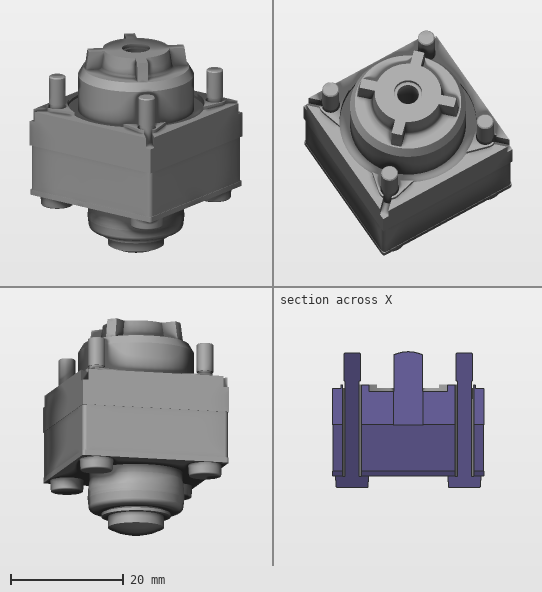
import cadquery as cq
import math


total_height = 37.73
top_z = 10.85
rotor_shoulder_z = 7.47
rotor_chamfer_z = 6.0
pad_height = 0.6
cover_bottom_z = -6.45
housing_bottom_z = -14.7
plate_bottom_z = -15.65
boss_bottom_z = -22.68
tip_z = top_z - total_height

cover_width = 27.0
notch_width = 1.5
notch_depth = 1.95
recess_radius = 12.2
recess_depth = 0.5
pad_corner_radius = 2.0
pad_side_angle = 15.0

housing_width = 26.85
housing_corner_radius = 0.7
plate_corner_radius = 0.5

boss_neck_radius = 8.3
boss_radius = 8.6
boss_neck_z = -17.05
boss_bulge_mid = (8.5, -18.1)
boss_bulge_end = (8.55, -19.13)
boss_band_top_z = -20.05
boss_band_bottom_z = -20.5
boss_draft_end = (8.45, -21.77)
boss_edge_round = 0.9

rotor_radius = 10.35
rotor_shoulder_radius = 9.47
hub_top_radius = 5.92
hub_base_radius = 6.5
hub_fillet = 0.53
fin_top_radius = 8.65
fin_base_radius = 9.13
fin_width = 1.92
rotor_hole_radius = 1.92
counterbore_radius = 2.53
counterbore_depth = 0.65

plunger_radius = 5.0
plunger_rim_z = -25.58
collar_radius = 5.35
flange_radius = 6.2
flange_top_z = -23.1
flange_bottom_z = -23.62

screw_offset = 10.0
screw_hole_radius = 1.65
thread_radius = 1.5
thread_top_z = 6.3
thread_bottom_z = 1.25
thread_chamfer = 0.2
shank_radius = 1.32
head_height = 2.05
head_radius = 3.0
head_end_radius = 2.85
head_edge_round = 0.25

screw_points = [
    (sx * screw_offset, sy * screw_offset) for sx in (-1, 1) for sy in (-1, 1)
]


def cylinder(radius, bottom, top):
    """A cylinder on the Z axis between two heights."""
    return cq.Workplane("XY").workplane(offset=bottom).circle(radius).extrude(top - bottom)


def block(width, bottom, top):
    """A square block centred on the Z axis between two heights."""
    return cq.Workplane("XY").workplane(offset=bottom).rect(width, width).extrude(top - bottom)


def around_corners(shape):
    """Four copies of a shape, turned from the +X +Y corner to every corner."""
    copies = shape
    for quarter in range(1, 4):
        copies = copies.union(shape.rotate((0, 0, 0), (0, 0, 1), 90 * quarter))
    return copies


def drill_screw_holes(body):
    """Clearance holes for the four screws, through the whole body."""
    holes = (
        cq.Workplane("XY")
        .workplane(offset=plate_bottom_z)
        .pushPoints(screw_points)
        .circle(screw_hole_radius)
        .extrude(top_z - plate_bottom_z)
    )
    return body.cut(holes)


def make_pad():
    """Raised pad around the screw at the +X +Y corner, with two sides tangent to its corner arc."""
    slant = math.radians(pad_side_angle)
    lean_x = pad_corner_radius * math.sin(slant)
    lean_y = pad_corner_radius * math.cos(slant)
    side_run = screw_offset - lean_x
    tangent = (side_run, screw_offset + lean_y)
    side_end = (0, tangent[1] - side_run * math.tan(slant))
    corner = screw_offset + pad_corner_radius / math.sqrt(2)
    return (
        cq.Workplane("XY")
        .moveTo(*side_end)
        .lineTo(*tangent)
        .threePointArc((corner, corner), tangent[::-1])
        .lineTo(*side_end[::-1])
        .close()
        .extrude(pad_height)
    )


def make_cover():
    """Square cover with a recessed bore for the rotor, corner pads and a diagonal notch at each corner."""
    cover = block(cover_width, cover_bottom_z, 0).union(around_corners(make_pad()))
    cover = cover.cut(cylinder(recess_radius, -recess_depth, pad_height))
    cover = cover.cut(cylinder(rotor_radius, cover_bottom_z, 0))
    notch_length = cover_width / math.sqrt(2)
    notch = (
        cq.Workplane("XY")
        .workplane(offset=-notch_depth)
        .center(screw_offset * math.sqrt(2) + notch_length / 2, 0)
        .rect(notch_length, notch_width)
        .extrude(notch_depth + pad_height)
        .rotate((0, 0, 0), (0, 0, 1), 45)
    )
    return drill_screw_holes(cover.cut(around_corners(notch)))


def make_housing():
    """Square housing with rounded upright edges."""
    housing = block(housing_width, housing_bottom_z, cover_bottom_z)
    return drill_screw_holes(housing.edges("|Z").fillet(housing_corner_radius))


def make_base():
    """Base plate with the bulging round boss under it."""
    plate = block(cover_width, plate_bottom_z, housing_bottom_z)
    plate = drill_screw_holes(plate.edges("|Z").fillet(plate_corner_radius))
    round_start_radius, round_start_z = boss_draft_end
    floor_radius = round_start_radius - boss_edge_round
    round_mid = (
        floor_radius + boss_edge_round / math.sqrt(2),
        round_start_z - boss_edge_round / math.sqrt(2),
    )
    boss = (
        cq.Workplane("XZ")
        .moveTo(0, plate_bottom_z)
        .lineTo(boss_neck_radius, plate_bottom_z)
        .lineTo(boss_neck_radius, boss_neck_z)
        .threePointArc(boss_bulge_mid, boss_bulge_end)
        .lineTo(boss_radius, boss_band_top_z)
        .lineTo(boss_radius, boss_band_bottom_z)
        .lineTo(*boss_draft_end)
        .threePointArc(round_mid, (floor_radius, boss_bottom_z))
        .lineTo(0, boss_bottom_z)
        .close()
        .revolve(360, (0, 0), (0, 1))
    )
    return plate.union(boss)


def make_fins():
    """Two crossed diagonal bars trimmed by a cone, which form the four fins of the hub."""
    fin_cone = (
        cq.Workplane("XZ")
        .moveTo(0, rotor_shoulder_z)
        .lineTo(fin_base_radius, rotor_shoulder_z)
        .lineTo(fin_top_radius, top_z)
        .lineTo(0, top_z)
        .close()
        .revolve(360, (0, 0), (0, 1))
    )
    bar = (
        cq.Workplane("XY")
        .workplane(offset=rotor_shoulder_z)
        .rect(2 * fin_base_radius, fin_width)
        .extrude(top_z - rotor_shoulder_z)
        .rotate((0, 0, 0), (0, 0, 1), 45)
    )
    crossing_bar = bar.rotate((0, 0, 0), (0, 0, 1), 90)
    return fin_cone.intersect(bar.union(crossing_bar))


def make_rotor():
    """Round rotor seated in the bore of the cover, with a tapered hub with fins, and a centre hole."""
    body = (
        cq.Workplane("XZ")
        .moveTo(0, cover_bottom_z)
        .lineTo(rotor_radius, cover_bottom_z)
        .lineTo(rotor_radius, rotor_chamfer_z)
        .lineTo(rotor_shoulder_radius, rotor_shoulder_z)
        .lineTo(hub_base_radius, rotor_shoulder_z)
        .lineTo(hub_top_radius, top_z)
        .lineTo(0, top_z)
        .close()
        .revolve(360, (0, 0), (0, 1))
    )
    foot_reach = hub_base_radius + hub_fillet
    hub_foot = cq.selectors.BoxSelector(
        (-foot_reach, -foot_reach, rotor_shoulder_z - hub_fillet),
        (foot_reach, foot_reach, rotor_shoulder_z + hub_fillet),
        boundingbox=True,
    )
    body = body.edges(hub_foot).fillet(hub_fillet)
    body = body.union(make_fins())
    body = body.cut(cylinder(rotor_hole_radius, cover_bottom_z, top_z))
    return body.cut(cylinder(counterbore_radius, top_z - counterbore_depth, top_z))


def make_plunger():
    """Domed plunger with a collar and a thin flange, seated on the boss."""
    dome_height = plunger_rim_z - tip_z
    dome_radius = (plunger_radius**2 + dome_height**2) / (2 * dome_height)
    dome_mid_radius = plunger_radius / 2
    dome_mid_z = tip_z + dome_radius - math.sqrt(dome_radius**2 - dome_mid_radius**2)
    return (
        cq.Workplane("XZ")
        .moveTo(0, boss_bottom_z)
        .lineTo(collar_radius, boss_bottom_z)
        .lineTo(collar_radius, flange_top_z)
        .lineTo(flange_radius, flange_top_z)
        .lineTo(flange_radius, flange_bottom_z)
        .lineTo(plunger_radius, flange_bottom_z)
        .lineTo(plunger_radius, plunger_rim_z)
        .threePointArc((dome_mid_radius, dome_mid_z), (0, tip_z))
        .close()
        .revolve(360, (0, 0), (0, 1))
    )


def make_screw(x, y):
    """Screw with a drafted round head under the base plate and a thread above a thinner shank."""
    head_bottom_z = plate_bottom_z - head_height
    screw = (
        cq.Workplane("XZ")
        .moveTo(0, head_bottom_z)
        .lineTo(head_end_radius, head_bottom_z)
        .lineTo(head_radius, plate_bottom_z)
        .lineTo(shank_radius, plate_bottom_z)
        .lineTo(shank_radius, thread_bottom_z)
        .lineTo(thread_radius, thread_bottom_z)
        .lineTo(thread_radius, thread_top_z)
        .lineTo(0, thread_top_z)
        .close()
        .revolve(360, (0, 0), (0, 1))
    )
    screw = screw.faces(">Z").edges().chamfer(thread_chamfer)
    screw = screw.faces("<Z").edges().fillet(head_edge_round)
    return screw.translate((x, y, 0))


cover = make_cover()
housing = make_housing()
base = make_base()
rotor = make_rotor()
plunger = make_plunger()
screws = [make_screw(x, y) for x, y in screw_points]

result = cq.Compound.makeCompound(
    [cover.val(), housing.val(), base.val(), rotor.val(), plunger.val()]
    + [screw.val() for screw in screws]
)